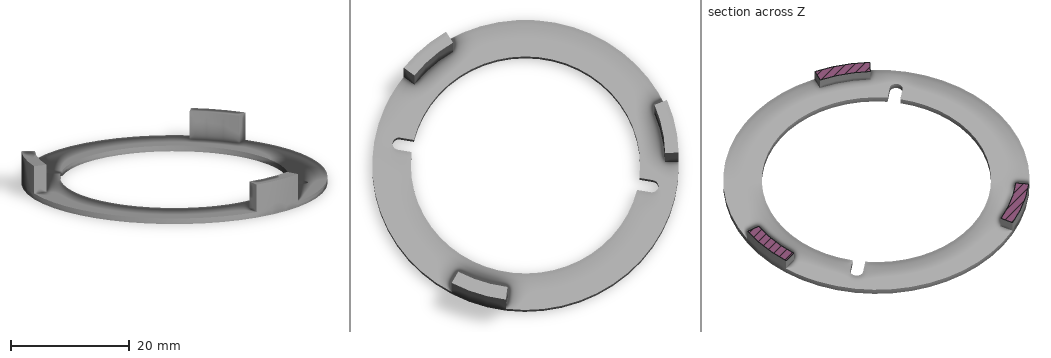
import cadquery as cq
import math

outer_radius = 25.8
inner_radius = 19.3
ring_thickness = 1.0

total_height = 5.8
tab_inner_radius = 23.55
tab_count = 3
tab_span_angle = 21.4
first_tab_angle = 95.3

slot_count = 2
slot_width = 2.15
slot_tip_radius = 22.7
first_slot_angle = 13.3


def polar(radius, angle):
    """Point at the given radius and angle in degrees."""
    radians = math.radians(angle)
    return (radius * math.cos(radians), radius * math.sin(radians))


def make_tab(angle):
    """Ring sector with radial ends, centred on the given angle."""
    start = angle - tab_span_angle / 2
    end = angle + tab_span_angle / 2
    return (
        cq.Workplane("XY", origin=(0, 0, ring_thickness))
        .moveTo(*polar(tab_inner_radius, start))
        .lineTo(*polar(outer_radius, start))
        .threePointArc(polar(outer_radius, angle), polar(outer_radius, end))
        .lineTo(*polar(tab_inner_radius, end))
        .threePointArc(polar(tab_inner_radius, angle), polar(tab_inner_radius, start))
        .close()
        .extrude(total_height - ring_thickness)
    )


def make_slot(angle):
    """Radial slot cutter whose inner end lies inside the open bore."""
    slot_length = 2 * (slot_tip_radius - inner_radius)
    centre_radius = slot_tip_radius - slot_length / 2
    return (
        cq.Workplane("XY")
        .center(*polar(centre_radius, angle))
        .slot2D(slot_length, slot_width, angle)
        .extrude(ring_thickness)
    )


result = cq.Workplane("XY").circle(outer_radius).circle(inner_radius).extrude(ring_thickness)

for i in range(slot_count):
    result = result.cut(make_slot(first_slot_angle + i * 360 / slot_count))

for i in range(tab_count):
    result = result.union(make_tab(first_tab_angle + i * 360 / tab_count))